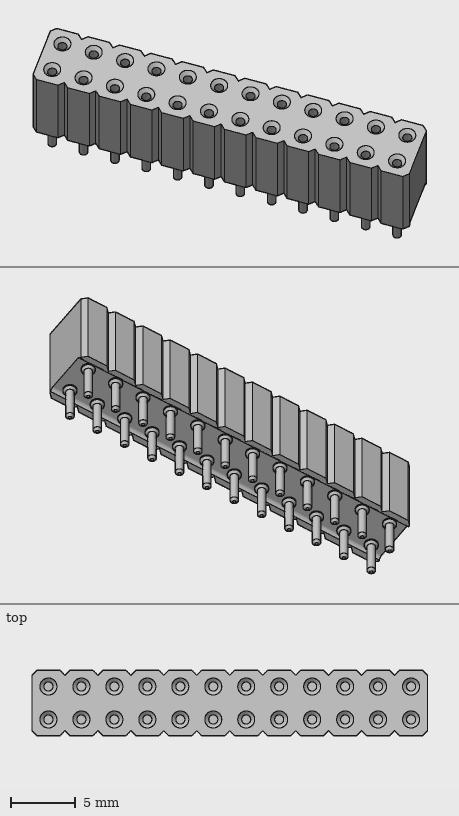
import cadquery as cq

columns = 12
rows = 2
length = 30.5
pitch = length / columns
width = rows * pitch
body_height = 7.0
pin_length = 3.0

groove_depth = 0.4

channel_width = 4.02
channel_depth = 0.3
channel_radius = 0.29

pin_diameter = 0.67
tip_diameter = 0.25
tip_height = 0.18
collar_diameter = 1.1
collar_taper_height = 0.18

socket_diameter = 1.3
bore_diameter = 0.7
funnel_depth = (socket_diameter - bore_diameter) / 2
socket_depth = 3.05

contact_points = [
    ((column - (columns - 1) / 2) * pitch, (row - (rows - 1) / 2) * pitch)
    for column in range(columns)
    for row in range(rows)
]


def make_body():
    """Block standing on z = 0, with grooved long sides and bevelled corners."""
    body = cq.Workplane("XY").box(length, width, body_height, centered=(True, True, False))
    cutter = (
        cq.Workplane("XY")
        .polyline([(-groove_depth, 0), (0, -groove_depth), (groove_depth, 0), (0, groove_depth)])
        .close()
        .extrude(body_height)
    )
    for station in range(columns + 1):
        x = station * pitch - length / 2
        for y in (-width / 2, width / 2):
            body = body.cut(cutter.translate((x, y, 0)))
    return body


def make_channel():
    """Full-length channel with rounded upper corners."""
    return (
        cq.Workplane("XY")
        .box(length, channel_width, channel_depth, centered=(True, True, False))
        .edges("|X and >Z")
        .fillet(channel_radius)
    )


def make_pin():
    """Pin on the Z axis, from its tip up to the channel roof."""
    radius = pin_diameter / 2
    return (
        cq.Workplane("XZ")
        .moveTo(0, -pin_length)
        .lineTo(tip_diameter / 2, -pin_length)
        .lineTo(radius, tip_height - pin_length)
        .lineTo(radius, 0)
        .lineTo(collar_diameter / 2, collar_taper_height)
        .lineTo(collar_diameter / 2, channel_depth)
        .lineTo(0, channel_depth)
        .close()
        .revolve(360, (0, 0), (0, 1))
    )


def make_socket():
    """Cutter on the Z axis for one funnel and its bore, ending at the top face."""
    mouth_radius = socket_diameter / 2
    bore_radius = bore_diameter / 2
    floor = body_height - socket_depth
    return (
        cq.Workplane("XZ")
        .moveTo(0, floor)
        .lineTo(bore_radius, floor)
        .lineTo(bore_radius, body_height - funnel_depth)
        .lineTo(mouth_radius, body_height)
        .lineTo(0, body_height)
        .close()
        .revolve(360, (0, 0), (0, 1))
    )


result = make_body().cut(make_channel())
pin = make_pin()
socket = make_socket()
for x, y in contact_points:
    result = result.union(pin.translate((x, y, 0)))
    result = result.cut(socket.translate((x, y, 0)))